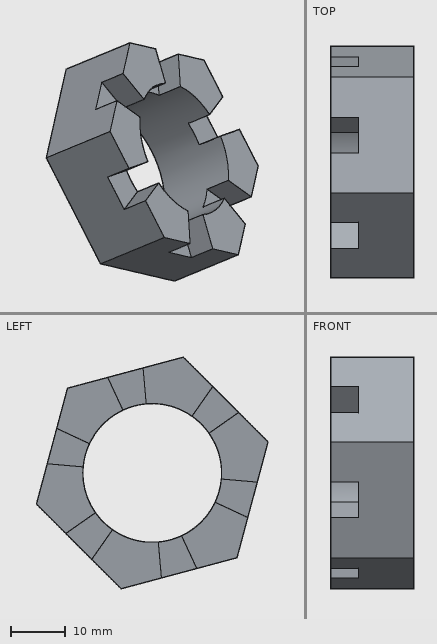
import cadquery as cq
import math

thickness = 15.24
across_flats = 38.1
bore_diameter = 25.4
slot_depth = 5.08
slot_angle = 20.0
side_count = 6
first_corner_angle = 45.0

side_step = 360.0 / side_count
corner_radius = across_flats / 2 / math.cos(math.pi / side_count)
first_flat_angle = first_corner_angle - side_step / 2
cutter_reach = 1.5 * corner_radius


def polar_point(radius, angle):
    """Point in the YZ plane, with the angle in degrees from +Y towards +Z."""
    radians = math.radians(angle)
    return (radius * math.cos(radians), radius * math.sin(radians))


def make_body():
    """Hexagonal prism with a plain through bore."""
    corners = [
        polar_point(corner_radius, first_corner_angle + i * side_step)
        for i in range(side_count)
    ]
    return (
        cq.Workplane("YZ")
        .polyline(corners)
        .close()
        .circle(bore_diameter / 2)
        .extrude(thickness)
    )


def make_slot_cutter(middle_angle):
    """Wedge from the nut axis outwards; its radial sides form the slot walls."""
    wedge = [
        (0, 0),
        polar_point(cutter_reach, middle_angle - slot_angle / 2),
        polar_point(cutter_reach, middle_angle + slot_angle / 2),
    ]
    return cq.Workplane("YZ").polyline(wedge).close().extrude(slot_depth)


result = make_body()
for i in range(side_count):
    result = result.cut(make_slot_cutter(first_flat_angle + i * side_step))